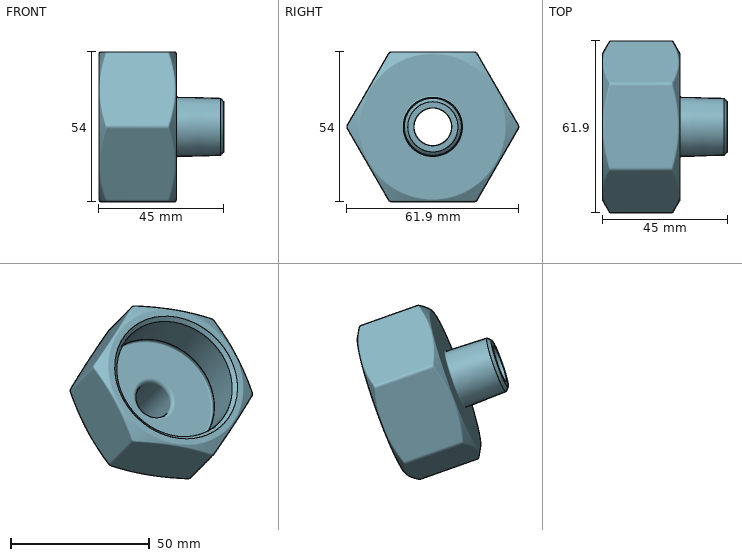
import cadquery as cq
import math

width_over_corners = 61.9
total_length = 45.0
hex_length = 28.0

corner_radius = 1.5
face_diameter = 52.6
face_chamfer_angle = 30.0
chamfer_edge_radius = 0.7

socket_diameter = 44.9
socket_mouth_diameter = 47.8
socket_depth = 20.5
undercut_diameter = 45.05
undercut_length = 2.0
floor_fillet = 0.5

spigot_diameter = 21.3
spigot_plain_length = 4.0
spigot_chamfer = 1.25
spigot_root_fillet = 0.5
thread_taper = 1 / 16

bore_diameter = 13.5
bore_mouth_fillet = 1.5


def revolve_about_axis(outline):
    """Turn a closed (x, radius) outline about the X axis."""
    return outline.close().revolve(360, (0, 0, 0), (1, 0, 0))


def make_hexagon():
    """Hexagonal body with rounded corners and conical chamfers at both ends."""
    corner_loss = corner_radius * (1 / math.cos(math.radians(30)) - 1)
    sharp_diameter = width_over_corners + 2 * corner_loss
    prism = (
        cq.Workplane("YZ")
        .polygon(6, sharp_diameter)
        .extrude(hex_length)
        .edges("|X")
        .fillet(corner_radius)
    )

    face_radius = face_diameter / 2
    cone_radius = sharp_diameter / 2
    cone_depth = (cone_radius - face_radius) * math.tan(math.radians(face_chamfer_angle))
    envelope = revolve_about_axis(
        cq.Workplane("XZ")
        .lineTo(0, face_radius)
        .lineTo(cone_depth, cone_radius)
        .lineTo(hex_length - cone_depth, cone_radius)
        .lineTo(hex_length, face_radius)
        .lineTo(hex_length, 0)
    )
    hexagon = prism.intersect(envelope)
    return hexagon.edges("not |X").fillet(chamfer_edge_radius)


def make_spigot():
    """Short plain neck followed by a tapered, chamfered end."""
    neck_radius = spigot_diameter / 2
    neck_end = hex_length + spigot_plain_length
    chamfer_start = total_length - spigot_chamfer
    tip_radius = neck_radius - (chamfer_start - neck_end) * thread_taper / 2
    fillet = spigot_root_fillet
    return revolve_about_axis(
        cq.Workplane("XZ")
        .moveTo(hex_length, 0)
        .lineTo(hex_length, neck_radius + fillet)
        .radiusArc((hex_length + fillet, neck_radius), -fillet)
        .lineTo(neck_end, neck_radius)
        .lineTo(chamfer_start, tip_radius)
        .lineTo(total_length, tip_radius - spigot_chamfer)
        .lineTo(total_length, 0)
    )


def make_cavity():
    """Socket with chamfered mouth and undercut, plus the bore with its rounded mouth."""
    mouth_radius = socket_mouth_diameter / 2
    socket_radius = socket_diameter / 2
    undercut_radius = undercut_diameter / 2
    bore_radius = bore_diameter / 2
    undercut_start = socket_depth - undercut_length
    mouth_chamfer = mouth_radius - socket_radius
    return revolve_about_axis(
        cq.Workplane("XZ")
        .lineTo(0, mouth_radius)
        .lineTo(mouth_chamfer, socket_radius)
        .lineTo(undercut_start, socket_radius)
        .lineTo(undercut_start, undercut_radius)
        .lineTo(socket_depth - floor_fillet, undercut_radius)
        .radiusArc((socket_depth, undercut_radius - floor_fillet), floor_fillet)
        .lineTo(socket_depth, bore_radius + bore_mouth_fillet)
        .radiusArc((socket_depth + bore_mouth_fillet, bore_radius), -bore_mouth_fillet)
        .lineTo(total_length, bore_radius)
        .lineTo(total_length, 0)
    )


result = make_hexagon().union(make_spigot()).cut(make_cavity())